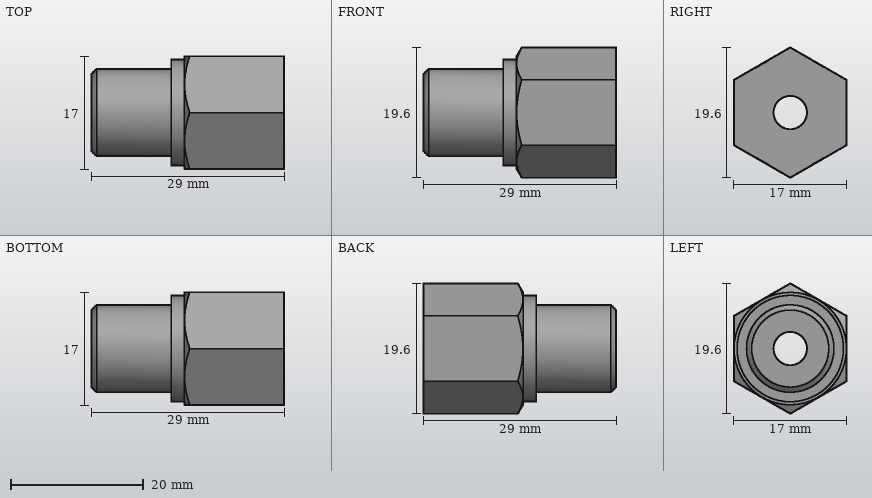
import cadquery as cq
import math

total_length = 29.0
across_flats = 17.0
across_corners = across_flats / math.cos(math.radians(30))

spigot_diameter = 13.17
spigot_length = 12.0
tip_chamfer = 0.78

collar_diameter = 16.0
collar_length = 2.0

hex_start = spigot_length + collar_length
hex_length = total_length - hex_start
hex_face_diameter = 16.9
corner_chamfer_angle = 30.0

bore_diameter = 5.0


def cylinder_along_x(diameter, start, length):
    """Solid cylinder on the X axis, beginning at X = start."""
    return cq.Workplane("YZ").workplane(offset=start).circle(diameter / 2).extrude(length)


def chamfered_hexagon():
    """Hexagonal prism with two corners on Z, cut by a cone at its collar end."""
    prism = (
        cq.Workplane("YZ")
        .workplane(offset=hex_start)
        .polygon(6, across_corners)
        .extrude(hex_length)
        .rotate((0, 0, 0), (1, 0, 0), 90)
    )
    face_radius = hex_face_diameter / 2
    outer_radius = across_corners / 2 + 0.3
    cone_length = (outer_radius - face_radius) * math.tan(math.radians(corner_chamfer_angle))
    envelope = (
        cq.Workplane("XY")
        .moveTo(hex_start, 0)
        .lineTo(hex_start, face_radius)
        .lineTo(hex_start + cone_length, outer_radius)
        .lineTo(total_length, outer_radius)
        .lineTo(total_length, 0)
        .close()
        .revolve(360, (0, 0, 0), (1, 0, 0))
    )
    return prism.intersect(envelope)


spigot = cylinder_along_x(spigot_diameter, 0, spigot_length).faces("<X").chamfer(tip_chamfer)
collar = cylinder_along_x(collar_diameter, spigot_length, collar_length)
bore = cylinder_along_x(bore_diameter, 0, total_length)

result = spigot.union(collar).union(chamfered_hexagon()).cut(bore)